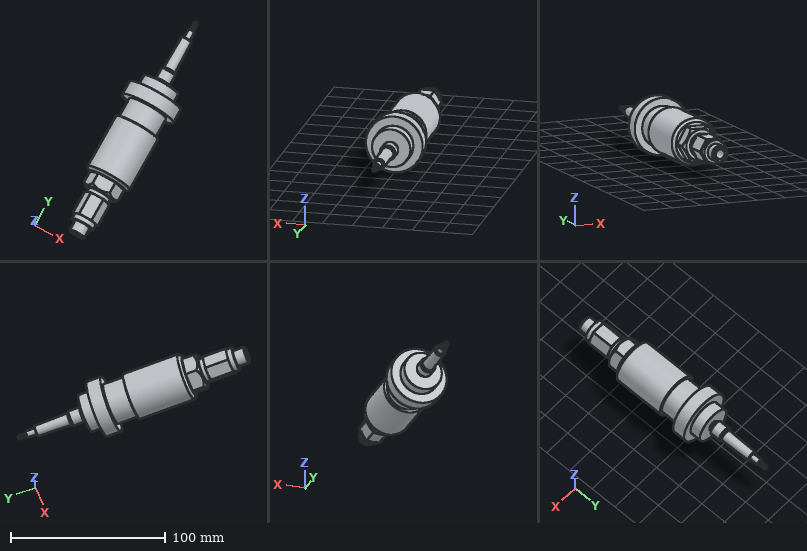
import cadquery as cq
import math

TOTAL_LENGTH = 160.0

NIPPLE_END = 7.8
COLLAR_END = 11.7
SMALL_HEX_END = 27.7
HEX_NECK_END = 30.9
LARGE_HEX_END = 40.6
BODY_END = 80.6
BODY_NECK_END = 95.2
FLANGE_END = 105.0
CAP_END = 113.1
STEM_END = 115.4
GLAND_END = 123.0
GROOVE_END = 124.2
BOOT_END = 147.4
CABLE_END = 154.0

NIPPLE_RADIUS = 5.5
COLLAR_RADIUS = 7.8
BODY_RADIUS = 15.7
BODY_NECK_RADIUS = 13.8
FLANGE_RADIUS = 19.0
CAP_RADIUS = 12.8
STEM_RADIUS = 3.7
GLAND_RADIUS = 5.1
GROOVE_RADIUS = 3.2
BOOT_BASE_RADIUS = 4.2
BOOT_TIP_RADIUS = 3.7
CABLE_RADIUS = 2.2

SMALL_HEX_FLATS = 16.0
LARGE_HEX_FLATS = 22.0
HEX_CHAMFER_RADIUS = 10.5
BODY_CHAMFER = 2.0
NIPPLE_CHAMFER = 0.6
BORE_RADIUS = 3.2
BORE_DEPTH = SMALL_HEX_END

WIRE_COUNT = 3
WIRE_RADIUS = 0.62
WIRE_RING_RADIUS = 0.74


def plane_at(y):
    """Plane across the axis, local x = X, local y = Z, normal = +Y."""
    return cq.Plane(origin=(0, y, 0), xDir=(1, 0, 0), normal=(0, 1, 0))


def cross_section(y):
    return cq.Workplane(plane_at(y))


def disc(start, end, radius):
    return cross_section(start).circle(radius).extrude(end - start)


def hexagon(start, end, flats):
    """Hexagonal prism with corners on the X axis."""
    corner_diameter = flats / math.cos(math.pi / 6)
    return cross_section(start).polygon(6, corner_diameter).extrude(end - start)


def chamfered_hexagon():
    """Large nut, its front corners trimmed by a 45 degree cone."""
    nut = hexagon(HEX_NECK_END, LARGE_HEX_END, LARGE_HEX_FLATS)
    length = LARGE_HEX_END - HEX_NECK_END
    cone = (
        cross_section(HEX_NECK_END)
        .circle(HEX_CHAMFER_RADIUS)
        .workplane(offset=length)
        .circle(HEX_CHAMFER_RADIUS + length)
        .loft()
    )
    return nut.intersect(cone)


def boot():
    """Strain relief tapering toward the cable."""
    return (
        cross_section(GROOVE_END)
        .circle(BOOT_BASE_RADIUS)
        .workplane(offset=BOOT_END - GROOVE_END)
        .circle(BOOT_TIP_RADIUS)
        .loft()
    )


def wires():
    """Bare wires, one of them at the top."""
    return (
        cross_section(CABLE_END)
        .polarArray(WIRE_RING_RADIUS, -90, 360, WIRE_COUNT)
        .circle(WIRE_RADIUS)
        .extrude(TOTAL_LENGTH - CABLE_END)
    )


nipple = disc(0, NIPPLE_END, NIPPLE_RADIUS).faces("<Y").chamfer(NIPPLE_CHAMFER)
body = disc(LARGE_HEX_END, BODY_END, BODY_RADIUS).faces("<Y").chamfer(BODY_CHAMFER)

sections = [
    disc(NIPPLE_END, COLLAR_END, COLLAR_RADIUS),
    hexagon(COLLAR_END, SMALL_HEX_END, SMALL_HEX_FLATS),
    disc(SMALL_HEX_END, HEX_NECK_END, COLLAR_RADIUS),
    chamfered_hexagon(),
    body,
    disc(BODY_END, BODY_NECK_END, BODY_NECK_RADIUS),
    disc(BODY_NECK_END, FLANGE_END, FLANGE_RADIUS),
    disc(FLANGE_END, CAP_END, CAP_RADIUS),
    disc(CAP_END, STEM_END, STEM_RADIUS),
    disc(STEM_END, GLAND_END, GLAND_RADIUS),
    disc(GLAND_END, GROOVE_END, GROOVE_RADIUS),
    boot(),
    disc(BOOT_END, CABLE_END, CABLE_RADIUS),
    wires(),
]

result = nipple
for section in sections:
    result = result.union(section)

result = result.cut(disc(0, BORE_DEPTH, BORE_RADIUS))